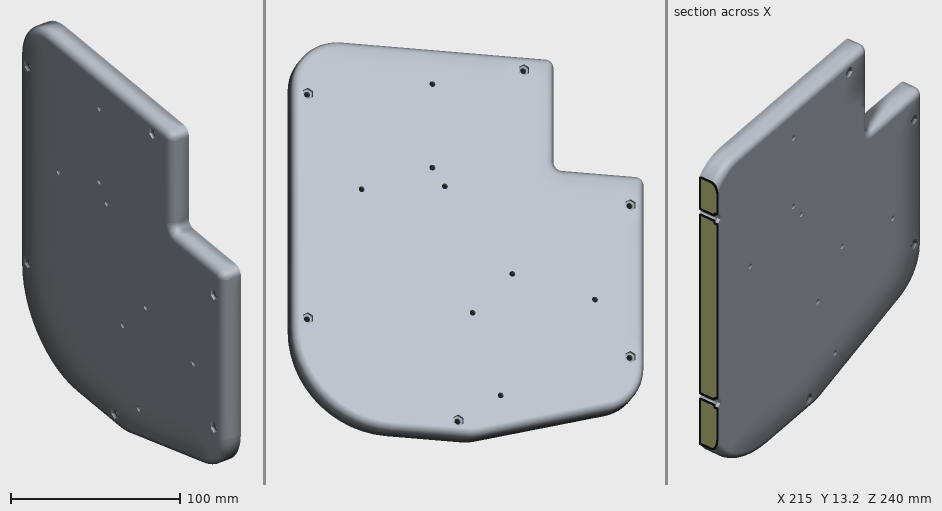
import cadquery as cq
import math

width = 215.0
height = 240.0
thickness = 13.25

step_x = 160.0
step_z = 171.4
slope_start_x = 110.0
slope_end_z = 30.0
upper_left_radius = 30.0
lower_left_radius = 60.0
slope_radius = 30.0
step_radius = 5.0

front_edge_radius = 4.99

edge_distance = 9.0
screw_hole_diameter = 3.6
hex_across_flats = 6.2
hex_depth = 2.2
screw_positions = [
    (edge_distance, 205.0),
    (edge_distance, 65.0),
    (141.0, height - edge_distance),
    (100.9, edge_distance),
    (width - edge_distance, 152.35),
    (width - edge_distance, 57.65),
]

mount_hole_diameter = 3.5
mount_positions = [
    (85.0, 217.4), (85.0, 165.3),
    (92.65, 154.25), (41.75, 148.15),
    (133.85, 103.15), (184.3, 91.45),
    (109.55, 76.85), (126.7, 26.75),
]

front = cq.Workplane("XZ")


def rounded_plate():
    """Plate outline with rounded corners and a rounded front rim."""
    corners = [
        (0, 0, lower_left_radius),
        (slope_start_x, 0, slope_radius),
        (width, slope_end_z, slope_radius),
        (width, step_z, step_radius),
        (step_x, step_z, step_radius),
        (step_x, height, step_radius),
        (0, height, upper_left_radius),
    ]
    outline = [(x, z) for x, z, _ in corners]
    plate = front.polyline(outline).close().extrude(-thickness)
    middle_y = thickness / 2
    for x, z, radius in corners:
        corner_edge = cq.selectors.NearestToPointSelector((x, middle_y, z))
        plate = plate.edges("|Y").edges(corner_edge).fillet(radius)
    return plate.faces("<Y").edges().fillet(front_edge_radius)


def through_holes(positions, diameter):
    return front.pushPoints(positions).circle(diameter / 2).extrude(-thickness)


def hex_pockets():
    """Hexagonal pockets in the front face, with one corner pointing up."""
    corner_diameter = hex_across_flats / math.cos(math.pi / 6)
    hexagons = cq.Sketch().regularPolygon(corner_diameter / 2, 6)
    return front.pushPoints(screw_positions).placeSketch(hexagons).extrude(-hex_depth)


result = (
    rounded_plate()
    .cut(through_holes(screw_positions, screw_hole_diameter))
    .cut(through_holes(mount_positions, mount_hole_diameter))
    .cut(hex_pockets())
)